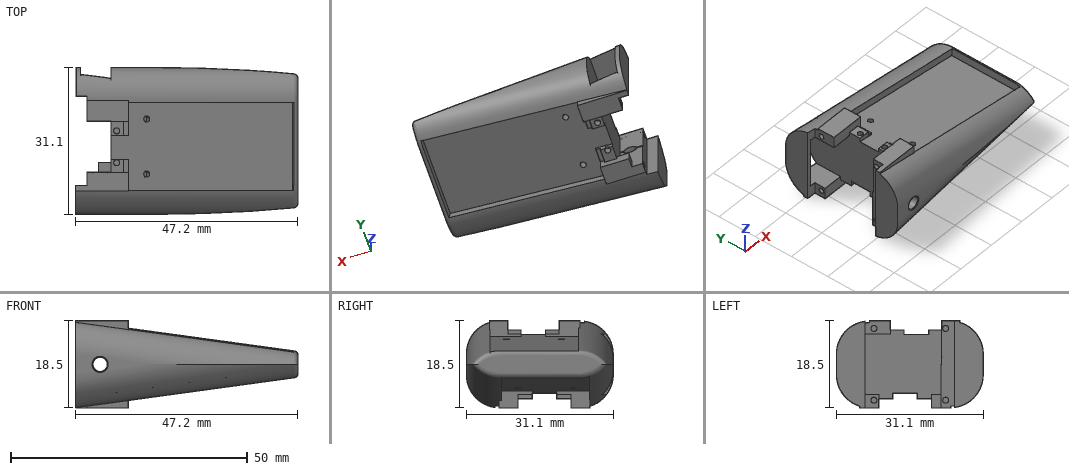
import cadquery as cq
import math

length = 47.15
width = 31.1
height = 18.5
root_half_height = 9.2
slope = math.radians(7.8)
edge_radius = 6.98
tip_radius = 1.0
half_width = width / 2
ahead = -0.45

pocket_y_min = -10.5
pocket_y_max = 8.15
pocket_end_x = 46.2
top_pocket_depth = 1.8
bottom_pocket_depth = 2.05

mouth_half_width = 9.43
block_front_x = 2.45
cavity_end_x = 7.5
cavity_y_min = -6.55
cavity_top_z = 6.4
cavity_bottom_z = -6.35
cheek_back_x = 1.15
cheek_front_x = 0.15
low_block_front_x = 4.85

block_back_x = 11.2
block_half_height = height / 2
block_root_z = 5.2
tab_z = 7.3
tab_flat_end_x = 10.25
top_blocks = [(-10.6, -6.75), (4.1, 8.55)]
top_tabs = [(-6.75, -3.95), (1.2, 4.1)]
bottom_blocks = [(-10.6, -6.55), (4.55, 8.65)]
bottom_tabs = [(-6.55, -3.6), (1.55, 4.55)]

screw_diameter = 1.25
block_screw_offset = 7.6
block_screw_depth = 4.7
tab_hole_x = 8.7
tab_hole_ys = (-4.6, 2.1)
tab_hole_depth = 2.35
floor_hole_x = 15.1
floor_hole_ys = (-7.0, 4.6)
floor_hole_depth = 4.7
side_hole_diameter = 3.0
side_hole_x = 5.25
side_hole_chamfer = 0.2


def box(x_range, y_range, z_range):
    """Box spanning the three given (min, max) ranges."""
    sizes = [high - low for low, high in (x_range, y_range, z_range)]
    corner = (x_range[0], y_range[0], z_range[0])
    return cq.Workplane("XY").box(*sizes, centered=False).translate(corner)


def turned_over(shape):
    """Turn a top-side shape 180 degrees about X to serve the bottom side."""
    return shape.rotate((0, 0, 0), (1, 0, 0), 180)


def on_slope(depth=0):
    """Workplane parallel to the top face, sunk by depth; local x runs down the slope."""
    normal = cq.Vector(math.sin(slope), 0, math.cos(slope))
    origin = cq.Vector(0, 0, root_half_height) - normal * depth
    downhill = (math.cos(slope), 0, -math.sin(slope))
    return cq.Workplane(cq.Plane(origin=origin, xDir=downhill, normal=normal))


def rounded_top_half():
    """Long bar with two rounded upper edges, laid along the top slope."""
    reach = 3 * length
    bar = cq.Workplane("XY").box(reach, width, reach).translate((0, 0, -reach / 2))
    bar = bar.edges("|X and >Z").fillet(edge_radius)
    return bar.rotate((0, 0, 0), (0, 1, 0), math.degrees(slope)).translate((0, 0, root_half_height))


def wedge():
    upper = rounded_top_half()
    extent = box((0, length), (-width, width), (-width, width))
    tapered = upper.intersect(turned_over(upper)).intersect(extent)
    return tapered.faces(">X").edges().fillet(tip_radius)


def pocket(depth):
    end = pocket_end_x / math.cos(slope)
    pocket_width = pocket_y_max - pocket_y_min
    middle_y = (pocket_y_min + pocket_y_max) / 2
    return on_slope(depth).center(0, middle_y).rect(2 * end, pocket_width).extrude(2 * depth)


def block(y_range):
    return box((0, block_back_x), y_range, (block_root_z, block_half_height))


def tab(y_range):
    """Flat tab with a low step at its far end."""
    outline = [
        (cavity_end_x, block_root_z),
        (cavity_end_x, tab_z),
        (tab_flat_end_x, tab_z),
        (tab_flat_end_x, cavity_top_z),
        (block_back_x, cavity_top_z),
        (block_back_x, block_root_z),
    ]
    y_min, y_max = y_range
    return cq.Workplane("XZ", origin=(0, y_min, 0)).polyline(outline).close().extrude(y_min - y_max)


def face_holes():
    """Tab and pocket-floor holes of the top side."""
    tab_points = [(tab_hole_x, y) for y in tab_hole_ys]
    downhill_distance = (floor_hole_x + top_pocket_depth * math.sin(slope)) / math.cos(slope)
    floor_points = [(downhill_distance, y) for y in floor_hole_ys]
    tab_plane = cq.Workplane("XY", origin=(0, 0, tab_z))
    tab_holes = tab_plane.pushPoints(tab_points).circle(screw_diameter / 2).extrude(-tab_hole_depth)
    floor_plane = on_slope(top_pocket_depth)
    floor_holes = floor_plane.pushPoints(floor_points).circle(screw_diameter / 2).extrude(-floor_hole_depth)
    return tab_holes.union(floor_holes)


body = wedge()
body = body.cut(pocket(top_pocket_depth)).cut(turned_over(pocket(bottom_pocket_depth)))
for y_range in top_blocks:
    body = body.union(block(y_range))
for y_range in top_tabs:
    body = body.union(tab(y_range))
for y_range in bottom_blocks:
    body = body.union(turned_over(block(y_range)))
for y_range in bottom_tabs:
    body = body.union(turned_over(tab(y_range)))

mouth_y = (-mouth_half_width, mouth_half_width)
full_z = (-width, width)
cavity_z = (cavity_bottom_z, cavity_top_z)
body = body.cut(box((ahead, block_front_x), mouth_y, full_z))
body = body.cut(box((ahead, cavity_end_x), (cavity_y_min, mouth_half_width), cavity_z))
body = body.cut(box((cheek_back_x, cavity_end_x), (cavity_y_min, width), cavity_z))
body = body.cut(box((ahead, cheek_front_x), (0, width), full_z))

top_gap_y = (top_blocks[0][1], top_blocks[1][0])
bottom_gap_y = (-bottom_blocks[1][0], -bottom_blocks[0][1])
body = body.cut(box((ahead, cavity_end_x), top_gap_y, (0, width)))
body = body.cut(box((ahead, cavity_end_x), bottom_gap_y, (-width, 0)))
body = body.cut(box((ahead, low_block_front_x), (cavity_y_min, 0), (-width, 0)))

body = body.cut(face_holes()).cut(turned_over(face_holes()))
screws = (
    cq.Workplane("YZ", origin=(block_front_x, 0, 0))
    .rect(2 * block_screw_offset, 2 * block_screw_offset, forConstruction=True)
    .vertices()
    .circle(screw_diameter / 2)
    .extrude(block_screw_depth)
)
side_hole_radius = side_hole_diameter / 2
side_hole = cq.Workplane("XZ").center(side_hole_x, 0).circle(side_hole_radius).extrude(width)
side_hole_rim = (
    cq.Workplane("XZ", origin=(side_hole_x, -half_width, 0))
    .circle(side_hole_radius + side_hole_chamfer)
    .workplane(offset=-side_hole_chamfer)
    .circle(side_hole_radius)
    .loft()
)
result = body.cut(screws).cut(side_hole).cut(side_hole_rim)